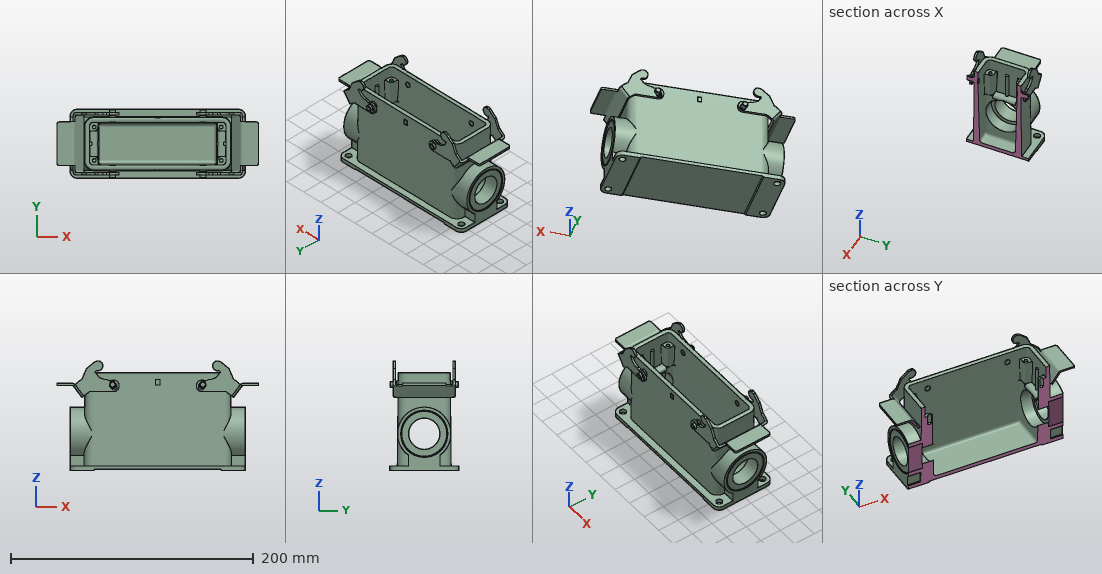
import cadquery as cq
import math

flange_length = 144.4
flange_width = 57.0
flange_top = 4.0
flange_corner_radius = 6.0
relief_depth = 1.0
relief_half_length = 51.8
mount_hole_diameter = 5.6
mount_hole_x = 66.0
mount_hole_y = 22.2

body_half_length = 60.8
body_half_width = 22.2
body_corner_radius = 8.0
body_draft = 0.6
rim_bottom = 75.0
crown_base = 80.5
crown_rise = 0.5
rim_width = 3.8

opening_draft_top = 75.7
opening_draft = 0.6
pocket_draft = 1.0
cavity_draft = 1.6
post_top = 69.9
ledge_z = 48.3
ledge_round = 2.7
cavity_half_length = 49.3
cavity_floor = 5.0
cavity_corner_radius = 2.3
cavity_floor_fillet = 2.7

post_inner_x = 49.3
post_inner_y = 10.5
post_round = 3.2
post_root_radius = 1.2
post_wall_overlap = 0.2
post_hole_x = 52.3
post_hole_y = 13.8
post_hole_diameter = 3.0
post_hole_depth = 8.3
drill_tip_height = 0.8
rib_diameter = 3.0
rib_x = 55.5

collar_radius = 21.9
collar_z = 30.4
collar_face_x = flange_length / 2
collar_inner_x = 52.3
pedestal_half_width = 12.8
entry_bore_diameter = 32.0
seat_diameter = 37.5
seat_depth = 13.3
seat_chamfer = 0.7
insert_bore_diameter = 25.5
insert_chamfer = 0.25

pin_x = 37.2
pin_z = 70.9
pin_diameter = 4.8
pin_tip_diameter = 4.0
pin_tip_y = 28.0
pin_collar_diameter = 5.6
pin_base_diameter = 7.0
pin_cone_end_y = 22.7
pin_collar_end_y = 23.4
pin_recess_depth = 0.3

notch_width = 3.3
notch_bottom = 70.5
notch_depth = 0.5

sheet = 2.0
lever_outer_y = 25.5
lever_inner_y = lever_outer_y - sheet
cheek_bend_outer_radius = 2.3
cheek_bend_inner_radius = 1.7
lever_end_x = -36.5
lever_end_z = 69.9
lever_end_radius = 4.8
hook_x = -49.3
hook_z = 86.3
hook_radius = 4.1
slot_width = 5.0
slot_end_x = -35.9
slot_end_z = 68.9
tab_end_x = -83.0
tab_half_width = 18.1
tab_top = 72.0
tab_corner_radius = 2.0
tab_bend_x = -70.4
tab_bend_radius = 3.0
plate_lean = 37.0
plate_length = 11.8

wall_shift_at_rim = (rim_bottom - flange_top) * math.tan(math.radians(body_draft))
rim_half_length = body_half_length - wall_shift_at_rim
rim_half_width = body_half_width - wall_shift_at_rim
rim_corner_radius = body_corner_radius - wall_shift_at_rim
opening_half_length = rim_half_length - rim_width
opening_half_width = rim_half_width - rim_width
opening_corner_radius = rim_corner_radius - rim_width
opening_shift = (opening_draft_top - post_top) * math.tan(math.radians(opening_draft))
pocket_half_length = opening_half_length - opening_shift
pocket_half_width = opening_half_width - opening_shift
pocket_corner_radius = opening_corner_radius - opening_shift
plate_slope = (math.sin(math.radians(plate_lean)), -math.cos(math.radians(plate_lean)))
plate_normal = (math.cos(math.radians(plate_lean)), math.sin(math.radians(plate_lean)))
tab_bend_center_z = tab_top - tab_bend_radius
plate_top_x = tab_bend_x + tab_bend_radius * plate_normal[0]
plate_top_z = tab_bend_center_z + tab_bend_radius * plate_normal[1]
plate_bottom_x = plate_top_x + plate_length * plate_slope[0]
plate_bottom_z = plate_top_z + plate_length * plate_slope[1]
SIDES = (-1, 1)


def rounded_prism(half_length, half_width, radius, z_start, height, draft=0.0):
    """Rounded rectangle extruded from z_start by a signed height, narrowing by the draft angle."""
    sketch = cq.Sketch().rect(2 * half_length, 2 * half_width).vertices().fillet(radius)
    return cq.Workplane("XY", origin=(0, 0, z_start)).placeSketch(sketch).extrude(height, taper=draft)


def box_between(x0, x1, y0, y1, z0, z1):
    return cq.Workplane("XY").box(x1 - x0, y1 - y0, z1 - z0, centered=False).translate((x0, y0, z0))


def end_cylinder(radius, x_start, x_end, side):
    """Cylinder along X about the collar axis at one end of the housing."""
    plane = cq.Workplane("YZ", origin=(side * x_start, 0, collar_z))
    return plane.circle(radius).extrude(side * (x_end - x_start))


def make_flange():
    flange = rounded_prism(flange_length / 2, flange_width / 2, flange_corner_radius, 0, flange_top)
    relief = (
        cq.Workplane("XZ", origin=(0, flange_width / 2, 0))
        .moveTo(-relief_half_length - relief_depth, 0)
        .lineTo(-relief_half_length, relief_depth)
        .lineTo(relief_half_length, relief_depth)
        .lineTo(relief_half_length + relief_depth, 0)
        .close()
        .extrude(flange_width)
    )
    holes = (
        cq.Workplane("XY")
        .rect(2 * mount_hole_x, 2 * mount_hole_y, forConstruction=True)
        .vertices()
        .circle(mount_hole_diameter / 2)
        .extrude(flange_top)
    )
    return flange.cut(relief).cut(holes)


def make_crown():
    """Shallow arched cap swept around the middle of the rim."""
    half_rim = rim_width / 2
    mid_half_width = rim_half_width - half_rim
    mid_sketch = cq.Sketch().rect(2 * (rim_half_length - half_rim), 2 * mid_half_width)
    mid_sketch = mid_sketch.vertices().fillet(rim_corner_radius - half_rim)
    path_face = cq.Workplane("XY", origin=(0, 0, crown_base)).placeSketch(mid_sketch).extrude(1.7).faces("<Z")
    path = cq.Workplane("XY").newObject([path_face.val().outerWire()])
    profile = (
        cq.Workplane("YZ", origin=(0, -mid_half_width, crown_base))
        .moveTo(-half_rim, 0)
        .threePointArc((0, crown_rise), (half_rim, 0))
        .close()
    )
    return profile.sweep(path)


def make_shell():
    shell = rounded_prism(
        body_half_length, body_half_width, body_corner_radius,
        flange_top, rim_bottom - flange_top, body_draft,
    )
    rim = rounded_prism(
        rim_half_length, rim_half_width, rim_corner_radius, rim_bottom, crown_base - rim_bottom
    )
    return shell.union(rim)


def add_collars(body):
    for side in SIDES:
        body = body.union(end_cylinder(collar_radius, collar_inner_x, collar_face_x, side))
        x0, x1 = sorted((side * collar_inner_x, side * collar_face_x))
        body = body.union(
            box_between(x0, x1, -pedestal_half_width, pedestal_half_width, flange_top, collar_z)
        )
    return body


def make_post_block(side_x, side_y):
    """Corner post of the connector, rounded on its free corner and flared where it meets the walls."""
    end_wall_x = pocket_half_length - post_wall_overlap
    side_wall_y = pocket_half_width - post_wall_overlap
    block = (
        cq.Workplane("XY", origin=(0, 0, ledge_z))
        .moveTo(body_half_length, body_half_width)
        .lineTo(post_inner_x - post_root_radius, body_half_width)
        .lineTo(post_inner_x - post_root_radius, side_wall_y)
        .radiusArc((post_inner_x, side_wall_y - post_root_radius), post_root_radius)
        .lineTo(post_inner_x, post_inner_y + post_round)
        .radiusArc((post_inner_x + post_round, post_inner_y), -post_round)
        .lineTo(end_wall_x - post_root_radius, post_inner_y)
        .radiusArc((end_wall_x, post_inner_y - post_root_radius), post_root_radius)
        .lineTo(body_half_length, post_inner_y - post_root_radius)
        .close()
        .extrude(post_top - ledge_z)
    )
    if side_x < 0:
        block = block.mirror("YZ")
    if side_y < 0:
        block = block.mirror("XZ")
    return block


def make_post_hole(side_x, side_y):
    """Drilled hole with a conical tip."""
    radius = post_hole_diameter / 2
    outline = (
        cq.Workplane("XZ")
        .moveTo(0, 0)
        .lineTo(radius, 0)
        .lineTo(radius, -post_hole_depth)
        .lineTo(0, -post_hole_depth - drill_tip_height)
        .close()
    )
    hole = outline.revolve(360, (0, 0, 0), (0, 1, 0))
    return hole.translate((side_x * post_hole_x, side_y * post_hole_y, post_top))


def make_upper_pocket():
    """Space above the end ledges, less the corner posts and the end-wall ribs."""
    mouth = rounded_prism(
        opening_half_length, opening_half_width, opening_corner_radius,
        opening_draft_top, crown_base + crown_rise - opening_draft_top,
    )
    throat = rounded_prism(
        opening_half_length, opening_half_width, opening_corner_radius,
        opening_draft_top, post_top - opening_draft_top, opening_draft,
    )
    pocket = rounded_prism(
        pocket_half_length, pocket_half_width, pocket_corner_radius,
        post_top, ledge_z - post_top, pocket_draft,
    )
    for side_x in SIDES:
        for side_y in SIDES:
            pocket = pocket.cut(make_post_block(side_x, side_y))
        rib = (
            cq.Workplane("XY", origin=(side_x * rib_x, 0, ledge_z))
            .circle(rib_diameter / 2)
            .extrude(post_top - ledge_z)
        )
        pocket = pocket.cut(rib)
    return mouth.union(throat).union(pocket)


def make_lower_cavity():
    """Drafted cavity between the end walls, rounded into the floor."""
    depth_below_posts = post_top - ledge_z
    half_width = pocket_half_width - depth_below_posts * math.tan(math.radians(pocket_draft))
    cavity = rounded_prism(
        cavity_half_length, half_width, cavity_corner_radius,
        ledge_z, cavity_floor - ledge_z, cavity_draft,
    )
    return cavity.faces("<Z").edges().fillet(cavity_floor_fillet)


def make_ledge_round(side):
    """Material to remove so that the end ledge rolls over into the end wall between the posts."""
    edge_x = cavity_half_length
    corner = (
        cq.Workplane("XZ", origin=(0, post_inner_y, 0))
        .moveTo(edge_x + ledge_round, ledge_z)
        .radiusArc((edge_x, ledge_z - ledge_round), -ledge_round)
        .lineTo(edge_x - ledge_round, ledge_z - ledge_round)
        .lineTo(edge_x - ledge_round, ledge_z)
        .close()
        .extrude(2 * post_inner_y)
    )
    return corner if side > 0 else corner.mirror("YZ")


def make_pin(side_x, side_y):
    """Pivot pin: cone at the wall, short collar, shank and chamfered tip, turned about Y."""
    root_y = opening_half_width + rim_width / 2
    tip_chamfer = (pin_diameter - pin_tip_diameter) / 2
    steps = [
        (0, root_y),
        (pin_base_diameter / 2, root_y),
        (pin_base_diameter / 2, rim_half_width),
        (pin_collar_diameter / 2, pin_cone_end_y),
        (pin_collar_diameter / 2, pin_collar_end_y),
        (pin_diameter / 2, pin_collar_end_y),
        (pin_diameter / 2, pin_tip_y - tip_chamfer),
        (pin_tip_diameter / 2, pin_tip_y),
        (0, pin_tip_y),
    ]
    pin = cq.Workplane("XY").polyline(steps).close().revolve(360, (0, 0, 0), (0, 1, 0))
    if side_y < 0:
        pin = pin.mirror("XZ")
    return pin.translate((side_x * pin_x, 0, pin_z))


def make_pin_recesses(side_x):
    """Shallow round recesses inside both long walls, behind the pins."""
    reach = opening_half_width + pin_recess_depth
    plane = cq.Workplane("XZ", origin=(side_x * pin_x, reach, pin_z))
    return plane.circle(pin_diameter / 2).extrude(2 * reach)


def make_notch(side):
    y0, y1 = sorted((side * (rim_half_width - notch_depth), side * body_half_width))
    return box_between(-notch_width / 2, notch_width / 2, y0, y1, notch_bottom, rim_bottom)


def make_seat(side):
    """Bore for one insert, with a chamfered mouth and a narrower way through into the cavity."""
    seat_end_x = collar_face_x - seat_depth
    seat = end_cylinder(seat_diameter / 2, seat_end_x, collar_face_x, side)
    entry = end_cylinder(entry_bore_diameter / 2, cavity_half_length - cavity_floor_fillet, seat_end_x, side)
    mouth = end_cylinder(seat_diameter / 2 + seat_chamfer, collar_face_x - seat_chamfer, collar_face_x, side)
    mouth = mouth.faces("<X" if side > 0 else ">X").edges().chamfer(seat_chamfer - 0.002)
    return seat.union(entry).union(mouth)


def make_housing():
    housing = add_collars(make_flange().union(make_shell()))
    housing = housing.union(make_crown())
    housing = housing.cut(make_upper_pocket()).cut(make_lower_cavity())
    for side_x in SIDES:
        housing = housing.cut(make_ledge_round(side_x))
        housing = housing.cut(make_seat(side_x))
        housing = housing.cut(make_pin_recesses(side_x))
        housing = housing.cut(make_notch(side_x))
        for side_y in SIDES:
            housing = housing.cut(make_post_hole(side_x, side_y))
            housing = housing.union(make_pin(side_x, side_y))
    return housing


def make_insert(side):
    """Reducing ring that fills the seat of one collar."""
    ring = end_cylinder(seat_diameter / 2, collar_face_x - seat_depth, collar_face_x, side)
    ring = ring.faces(">X" if side > 0 else "<X").edges().chamfer(insert_chamfer)
    return ring.cut(end_cylinder(insert_bore_diameter / 2, collar_face_x - seat_depth, collar_face_x, side))


def make_cheek_outline():
    """Side outline of the lever, from the hook round to the rounded pivot end."""
    return (
        cq.Workplane("XZ", origin=(0, lever_outer_y, 0))
        .moveTo(hook_x, hook_z - hook_radius)
        .threePointArc((hook_x + hook_radius, hook_z), (hook_x, hook_z + hook_radius))
        .lineTo(-51.8, 89.8)
        .lineTo(-58.8, 84.0)
        .lineTo(-62.5, 75.2)
        .lineTo(-64.5, 74.0)
        .lineTo(plate_top_x, plate_top_z)
        .lineTo(plate_bottom_x, plate_bottom_z)
        .lineTo(-56.1, lever_end_z - lever_end_radius)
        .lineTo(lever_end_x, lever_end_z - lever_end_radius)
        .threePointArc(
            (lever_end_x + lever_end_radius, lever_end_z), (lever_end_x, lever_end_z + lever_end_radius)
        )
        .lineTo(-39.8, 74.0)
        .lineTo(-42.2, 75.0)
        .threePointArc((-47.0, 76.2), (-48.8, 77.5))
        .lineTo(-51.5, 81.3)
        .lineTo(-50.6, hook_z - hook_radius)
        .close()
    )


def make_plate():
    """Sloping cross plate with the bends into both cheeks, drawn as a channel section."""
    bend_depth = cheek_bend_inner_radius
    section = cq.Plane(
        origin=(plate_top_x, 0, plate_top_z),
        xDir=(0, 1, 0),
        normal=(plate_slope[0], 0, plate_slope[1]),
    )
    inner_flat_y = lever_inner_y - cheek_bend_inner_radius
    outer_flat_y = lever_outer_y - cheek_bend_outer_radius
    bend_start = cheek_bend_outer_radius - sheet
    return (
        cq.Workplane(section)
        .moveTo(-inner_flat_y, 0)
        .lineTo(inner_flat_y, 0)
        .radiusArc((lever_inner_y, bend_depth), -cheek_bend_inner_radius)
        .lineTo(lever_outer_y, bend_depth)
        .lineTo(lever_outer_y, bend_start)
        .radiusArc((outer_flat_y, -sheet), cheek_bend_outer_radius)
        .lineTo(-outer_flat_y, -sheet)
        .radiusArc((-lever_outer_y, bend_start), cheek_bend_outer_radius)
        .lineTo(-lever_outer_y, bend_depth)
        .lineTo(-lever_inner_y, bend_depth)
        .radiusArc((-inner_flat_y, 0), -cheek_bend_inner_radius)
        .close()
        .extrude(plate_length)
    )


def make_tab():
    """Level finger tab that bends down into the plate, with rounded corners on its free end."""
    inner_radius = tab_bend_radius - sheet
    tab = (
        cq.Workplane("XZ", origin=(0, tab_half_width, 0))
        .moveTo(tab_end_x, tab_top)
        .lineTo(tab_bend_x, tab_top)
        .radiusArc((plate_top_x, plate_top_z), tab_bend_radius)
        .lineTo(plate_top_x - sheet * plate_normal[0], plate_top_z - sheet * plate_normal[1])
        .radiusArc((tab_bend_x, tab_top - sheet), -inner_radius)
        .lineTo(tab_end_x, tab_top - sheet)
        .close()
        .extrude(2 * tab_half_width)
    )
    return tab.edges("|Z and <X").fillet(tab_corner_radius)


def make_left_lever():
    cheeks = make_cheek_outline().extrude(2 * lever_outer_y)
    gap = box_between(tab_end_x, 0, -lever_inner_y, lever_inner_y, 0, 2 * hook_z)
    slot_angle = math.degrees(math.atan2(slot_end_z - pin_z, slot_end_x + pin_x))
    slot_travel = math.hypot(slot_end_x + pin_x, slot_end_z - pin_z)
    slot = (
        cq.Workplane("XZ", origin=((slot_end_x - pin_x) / 2, lever_outer_y, (slot_end_z + pin_z) / 2))
        .slot2D(slot_travel + slot_width, slot_width, slot_angle)
        .extrude(2 * lever_outer_y)
    )
    return cheeks.cut(gap).cut(slot).union(make_plate()).union(make_tab())


housing = make_housing()
inserts = [make_insert(side) for side in SIDES]
left_lever = make_left_lever()
levers = [left_lever, left_lever.mirror("YZ")]

result = cq.Compound.makeCompound(
    [housing.val(), *[ring.val() for ring in inserts], *[lever.val() for lever in levers]]
)